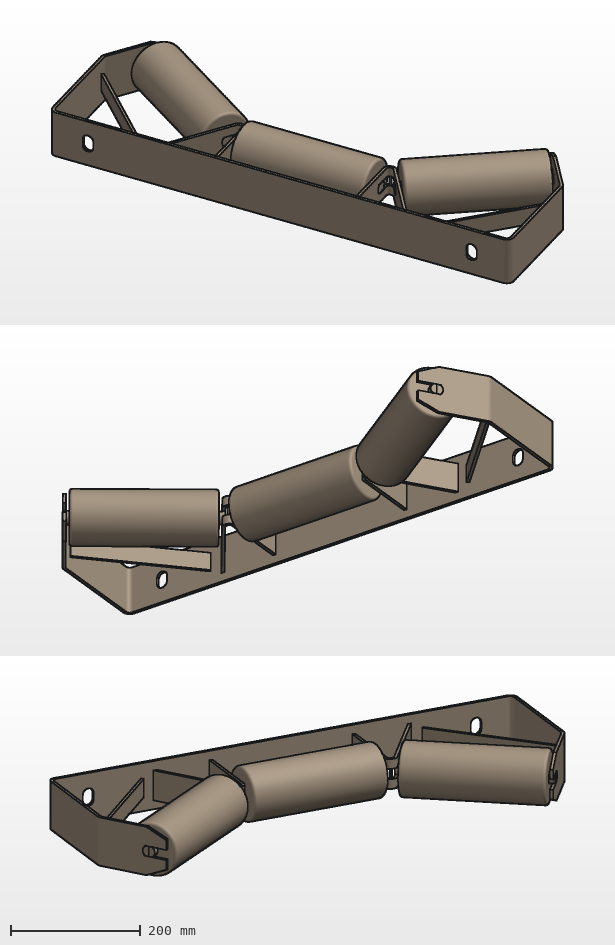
import cadquery as cq
import math


frame_length = 800.0
bar_width = 80.0
sheet = 5.0
frame_bend_radius = 12.0
wall_height = 178.0
arm_length = 118.0
arm_chamfer_along = 34.0
arm_chamfer_across = 15.0
mounting_spacing = 666.0
mounting_slot_width = 18.0
mounting_slot_length = 29.0

wing_tilt = 35.0
roller_diameter = 89.0
roller_length = 230.0
rim_radius = 5.0
seat_gap = 5.0
axle_diameter = 21.0
axle_flats = 17.0
middle_roller_height = 98.0
wing_roller_x = 247.0
wing_roller_height = 178.0

bracket_width = 50.0
bracket_top = 126.0
bracket_bend_radius = 10.0
brace_sheet = 5.0
brace_width = 30.0
brace_wall_height = 163.0
brace_foot_x = -242.0

half_length = frame_length / 2
face_distance = roller_length / 2 + seat_gap
axle_half_length = face_distance + sheet
support_centre = face_distance + sheet / 2
seat_cut_depth = 2 * sheet
arm_direction = cq.Vector(
    math.sin(math.radians(wing_tilt)), math.cos(math.radians(wing_tilt)))
wing_axis = cq.Vector(arm_direction.y, -arm_direction.x)
wing_centre = cq.Vector(-wing_roller_x, wing_roller_height)


def mirrored(body):
    """The same body on the +X side."""
    return body.mirror("YZ")


def slab(points, width):
    """Plate with the given XY outline, centred on Z = 0."""
    outline = [(p.x, p.y) for p in points]
    return cq.Workplane("XY").polyline(outline).close().extrude(width / 2, both=True)


def offset_left(path, distance):
    """Open path moved to its left by the distance, with mitred corners."""
    normals = []
    for start, end in zip(path, path[1:]):
        along = (end - start).normalized()
        normals.append(cq.Vector(-along.y, along.x))
    moved = []
    for index, point in enumerate(path):
        before = normals[max(index - 1, 0)]
        after = normals[min(index, len(normals) - 1)]
        moved.append(point + (before + after) * (distance / (1 + before.dot(after))))
    return moved


def bent_bar(path, width, bend_radius):
    """Flat bar whose outer face follows the path and whose sheet lies to the left of it."""
    inner_path = offset_left(path, sheet)
    bar = slab(path + inner_path[::-1], width)
    for corners, radius in ((path, bend_radius), (inner_path, bend_radius - sheet)):
        for corner in corners[1:-1]:
            bend_line = cq.NearestToPointSelector((corner.x, corner.y, 0))
            bar = bar.edges("|Z").edges(bend_line).fillet(radius)
    return bar


def wing_frame(body):
    """Moves a body built about the origin along X onto the -X wing roller axis."""
    return body.rotate((0, 0, 0), (0, 0, 1), -wing_tilt).translate(wing_centre)


def cylinder(diameter, length):
    """Cylinder along X, centred on the origin."""
    return cq.Workplane("YZ").workplane(offset=-length / 2).circle(diameter / 2).extrude(length)


def axle(half_length_of_axle):
    """Round bar along X with two flats facing +Z and -Z."""
    bar = cylinder(axle_diameter, 2 * half_length_of_axle)
    flats = cq.Workplane("XY").box(2 * half_length_of_axle, axle_diameter, axle_flats)
    return bar.intersect(flats)


def make_roller():
    """Roller along X about the origin, with its axle reaching through both supports."""
    shell = cylinder(roller_diameter, roller_length)
    shell = shell.faces("<X or >X").edges().fillet(rim_radius)
    journal = cylinder(axle_diameter, 2 * face_distance)
    return shell.union(journal).union(axle(axle_half_length))


def seat_slot(support_x, open_length):
    """Cutter about the origin: an axle seat around a support at the given X, open towards +Y."""
    entry = cq.Workplane("XY").box(seat_cut_depth, open_length, axle_flats)
    entry = entry.translate((support_x, open_length / 2, 0))
    side = cq.Workplane("XY").box(seat_cut_depth, 2 * axle_diameter, axle_diameter)
    side = side.translate((support_x, 0, 0))
    return entry.union(axle(axle_half_length).intersect(side))


def make_arm_corner_cuts():
    """Cutter for the two corners at the end of the -X arm."""
    half_width = bar_width / 2
    corner = (
        cq.Workplane("YZ")
        .polyline([(0, half_width), (-arm_chamfer_along, half_width), (0, half_width - arm_chamfer_across)])
        .close()
        .extrude(2 * sheet, both=True)
    )
    corners = corner.union(corner.mirror("XY"))
    tip = cq.Vector(-half_length, wall_height) + arm_direction * arm_length
    return corners.rotate((0, 0, 0), (0, 0, 1), -wing_tilt).translate(tip)


def make_frame():
    left_corner = cq.Vector(-half_length, 0)
    left_bend = cq.Vector(-half_length, wall_height)
    left_path = [left_bend + arm_direction * arm_length, left_bend, left_corner]
    right_path = [cq.Vector(-p.x, p.y) for p in left_path[::-1]]
    frame = bent_bar(left_path + right_path, bar_width, frame_bend_radius)
    arm_slot = wing_frame(seat_slot(-support_centre, arm_length))
    for cutter in (make_arm_corner_cuts(), arm_slot):
        frame = frame.cut(cutter).cut(mirrored(cutter))
    mounting_slots = (
        cq.Workplane("XZ")
        .pushPoints([(-mounting_spacing / 2, 0), (mounting_spacing / 2, 0)])
        .slot2D(mounting_slot_length, mounting_slot_width, 90)
        .extrude(-sheet)
    )
    return frame.cut(mounting_slots)


def make_bracket():
    """Inverted-U support between the middle roller and the -X wing roller."""
    seat = wing_centre + wing_axis * face_distance
    foot = seat - arm_direction * (seat.y / arm_direction.y)
    shoulder = seat + arm_direction * ((bracket_top - seat.y) / arm_direction.y)
    foot_overrun = 4 * sheet
    path = [
        cq.Vector(-face_distance, 0),
        cq.Vector(-face_distance, bracket_top),
        shoulder,
        foot - arm_direction * (foot_overrun / 2),
    ]
    bracket = bent_bar(path, bracket_width, bracket_bend_radius)
    base_bar = cq.Workplane("XY").box(frame_length, foot_overrun, bar_width)
    base_bar = base_bar.translate((0, sheet - foot_overrun / 2, 0))
    bracket = bracket.cut(base_bar)
    middle_slot = seat_slot(-support_centre, bracket_top).translate((0, middle_roller_height, 0))
    wing_slot = wing_frame(seat_slot(support_centre, bracket_top))
    return bracket.cut(middle_slot).cut(wing_slot)


def make_brace():
    """Diagonal strip from the -X wall to the base bar."""
    wall_end = cq.Vector(-half_length + sheet, brace_wall_height)
    base_end = cq.Vector(brace_foot_x, sheet)
    lower_face = [wall_end, base_end]
    points = lower_face + offset_left(lower_face, brace_sheet)[::-1]
    return slab(points, brace_width)


middle_roller = make_roller().translate((0, middle_roller_height, 0))
wing_roller = wing_frame(make_roller())
frame = make_frame()
bracket = make_bracket()
brace = make_brace()

bodies = [frame, middle_roller]
for side_body in (wing_roller, bracket, brace):
    bodies += [side_body, mirrored(side_body)]
result = cq.Compound.makeCompound([body.val() for body in bodies])